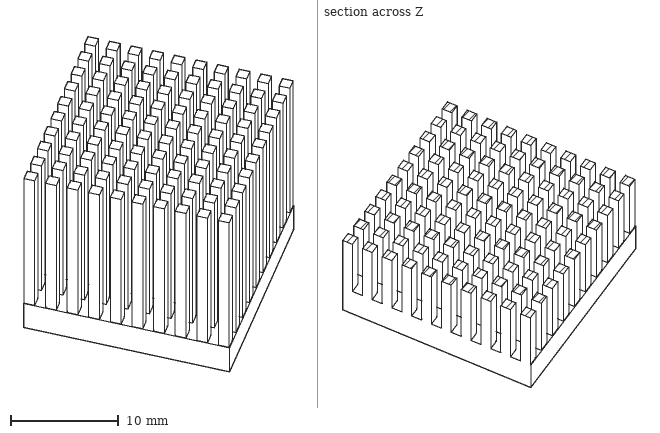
import cadquery as cq

base_size = 20.0
base_height = 3.1

total_height = 19.1
pins_per_side = 10
pin_pitch = 2.1
pin_width = pin_pitch / 2
pin_height = total_height - base_height

field_size = (pins_per_side - 1) * pin_pitch + pin_width
ledge_width = base_size - field_size
field_center = (-ledge_width / 2, ledge_width / 2)

base = cq.Workplane("XY").box(base_size, base_size, base_height, centered=(True, True, False))

pins = (
    cq.Workplane("XY")
    .workplane(offset=base_height)
    .center(*field_center)
    .rarray(pin_pitch, pin_pitch, pins_per_side, pins_per_side)
    .rect(pin_width, pin_width)
    .extrude(pin_height)
)

result = base.union(pins)